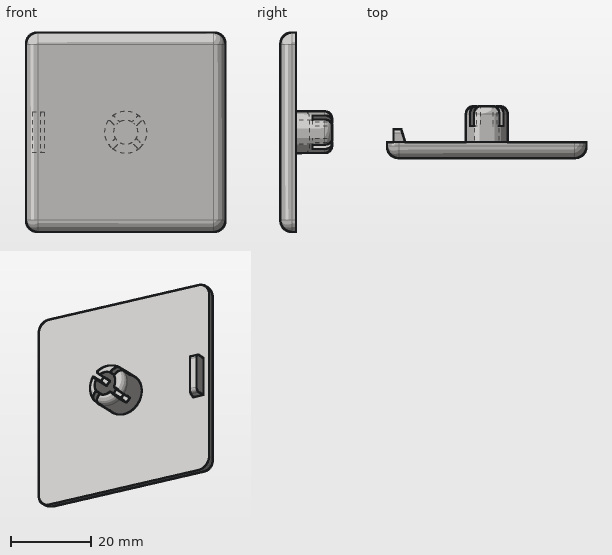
import cadquery as cq

plate_side = 49.8
plate_thickness = 4.0
edge_radius = 3.0

plug_diameter = 10.5
plug_bore_diameter = 6.0
plug_length = 9.0
plug_tip_radius = 2.0
slot_width = 1.5
slot_depth = 5.0
slot_angles = (45, 135)

tab_inset = 1.65
tab_root_width = 2.95
tab_tip_width = 1.95
tab_height = 3.25
tab_length = 10.0
tab_corner_radius = 1.0


def make_plate():
    """Square plate with rounded corners and a rounded front rim."""
    plate = cq.Workplane("XY").box(
        plate_side, plate_thickness, plate_side, centered=(True, False, True)
    )
    plate = plate.edges("|Y").fillet(edge_radius)
    return plate.faces("<Y").edges().fillet(edge_radius)


def make_plug():
    """Tube with a rounded outer tip, split into four fingers by two crossing slots."""
    tip_y = plate_thickness + plug_length
    plug = (
        cq.Workplane("XZ", origin=(0, plate_thickness, 0))
        .circle(plug_diameter / 2)
        .extrude(-plug_length)
        .faces(">Y")
        .edges()
        .fillet(plug_tip_radius)
    )
    bore = (
        cq.Workplane("XZ", origin=(0, plate_thickness, 0))
        .circle(plug_bore_diameter / 2)
        .extrude(-plug_length)
    )
    plug = plug.cut(bore)
    slot = cq.Workplane("XY").box(plug_diameter, slot_depth, slot_width)
    slot = slot.translate((0, tip_y - slot_depth / 2, 0))
    for angle in slot_angles:
        plug = plug.cut(slot.rotate((0, 0, 0), (0, 1, 0), angle))
    return plug


def make_tab():
    """Block with a sloping inner side and rounded outer corners."""
    outer_x = -plate_side / 2 + tab_inset
    tip_y = plate_thickness + tab_height
    tab = (
        cq.Workplane("XY")
        .moveTo(outer_x, plate_thickness)
        .lineTo(outer_x + tab_root_width, plate_thickness)
        .lineTo(outer_x + tab_tip_width, tip_y)
        .lineTo(outer_x, tip_y)
        .close()
        .extrude(tab_length / 2, both=True)
    )
    return tab.faces(">Y").edges("|X").fillet(tab_corner_radius)


result = make_plate().union(make_plug()).union(make_tab())